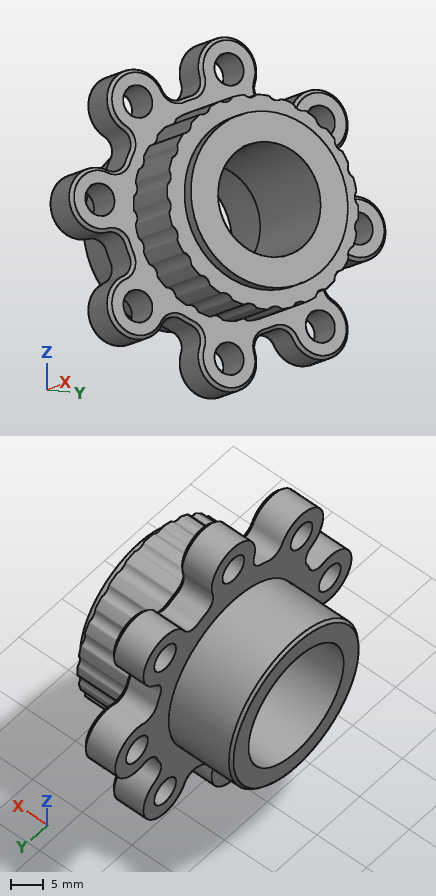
import cadquery as cq
import math

HUB_LENGTH = 12.65
FLANGE_THICKNESS = 6.45
TOOTH_LENGTH = 10.6
TOTAL_LENGTH = 31.75
FLANGE_END = HUB_LENGTH + FLANGE_THICKNESS
TOOTH_END = FLANGE_END + TOOTH_LENGTH

HUB_RADIUS = 15.1
HUB_CHAMFER = 0.5
COLLAR_RADIUS = 13.7
BORE_RADIUS = 8.95
SEAT_RADIUS = 11.1
SEAT_DEPTH = 12.75

FLANGE_RADIUS = 27.6
FLANGE_BODY_RADIUS = 18.95
FLANGE_CHAMFER = 0.55
LOBE_COUNT = 8
LOBE_RADIUS = 5.1
LOBE_FILLET = 2.5
LOBE_HOLE_RADIUS = 2.55
LOBE_CENTRE_RADIUS = FLANGE_RADIUS - LOBE_RADIUS
LOBE_PITCH = 360 / LOBE_COUNT

TOOTH_COUNT = 24
TIP_RADIUS = 16.65
TIP_LAND_ANGLE = 6.0
TIP_ROUNDING = 0.55
GROOVE_RADIUS = 1.55
TOOTH_PITCH = 360 / TOOTH_COUNT


def polar(radius, degrees):
    """Point in a cross-section; zero degrees lies on +Y and 90 degrees on +Z."""
    angle = math.radians(degrees)
    return radius * math.cos(angle), radius * math.sin(angle)


def step_towards(start, target, distance):
    """Point at the given distance from start on the line to target."""
    ratio = distance / math.dist(start, target)
    return tuple(a + (b - a) * ratio for a, b in zip(start, target))


def arc_middle(centre, start, end):
    """Middle of the shorter arc from start to end about centre."""
    chord_middle = tuple((a + b) / 2 for a, b in zip(start, end))
    return step_towards(centre, chord_middle, math.dist(centre, start))


def cross_section(x):
    """Workplane across the axis at station x; its local axes are Y and Z."""
    return cq.Workplane("YZ", origin=(x, 0, 0))


def make_flange():
    fillet_centre_radius = FLANGE_BODY_RADIUS + LOBE_FILLET
    lobe_to_fillet = LOBE_RADIUS + LOBE_FILLET
    fillet_cosine = (fillet_centre_radius**2 + LOBE_CENTRE_RADIUS**2 - lobe_to_fillet**2) / (
        2 * fillet_centre_radius * LOBE_CENTRE_RADIUS
    )
    fillet_angle = math.degrees(math.acos(fillet_cosine))

    outline = cross_section(HUB_LENGTH).moveTo(*polar(FLANGE_BODY_RADIUS, -fillet_angle))
    for index in range(LOBE_COUNT):
        axis = index * LOBE_PITCH
        lobe_centre = polar(LOBE_CENTRE_RADIUS, axis)
        first_centre = polar(fillet_centre_radius, axis - fillet_angle)
        second_centre = polar(fillet_centre_radius, axis + fillet_angle)
        neck_start = polar(FLANGE_BODY_RADIUS, axis - fillet_angle)
        lobe_start = step_towards(first_centre, lobe_centre, LOBE_FILLET)
        lobe_end = step_towards(second_centre, lobe_centre, LOBE_FILLET)
        neck_end = polar(FLANGE_BODY_RADIUS, axis + fillet_angle)
        next_neck = polar(FLANGE_BODY_RADIUS, axis + LOBE_PITCH - fillet_angle)
        outline = (
            outline.threePointArc(arc_middle(first_centre, neck_start, lobe_start), lobe_start)
            .threePointArc(polar(FLANGE_RADIUS, axis), lobe_end)
            .threePointArc(arc_middle(second_centre, lobe_end, neck_end), neck_end)
            .threePointArc(polar(FLANGE_BODY_RADIUS, axis + LOBE_PITCH / 2), next_neck)
        )
    flange = outline.close().extrude(FLANGE_THICKNESS)
    flange = flange.faces(">X").edges().chamfer(FLANGE_CHAMFER)

    lobe_holes = (
        cross_section(HUB_LENGTH)
        .polarArray(LOBE_CENTRE_RADIUS, 0, 360, LOBE_COUNT)
        .circle(LOBE_HOLE_RADIUS)
        .extrude(FLANGE_THICKNESS)
    )
    return flange.cut(lobe_holes)


def make_toothed_rim():
    half_land = TIP_LAND_ANGLE / 2
    rounding_centre_radius = TIP_RADIUS - TIP_ROUNDING
    along, across = polar(rounding_centre_radius, TOOTH_PITCH / 2 - half_land)
    groove_centre_radius = along + math.sqrt((GROOVE_RADIUS + TIP_ROUNDING) ** 2 - across**2)
    groove_floor_radius = groove_centre_radius - GROOVE_RADIUS

    outline = cross_section(FLANGE_END).moveTo(*polar(TIP_RADIUS, -half_land))
    for index in range(TOOTH_COUNT):
        axis = index * TOOTH_PITCH
        groove_axis = axis + TOOTH_PITCH / 2
        groove_centre = polar(groove_centre_radius, groove_axis)
        first_centre = polar(rounding_centre_radius, axis + half_land)
        second_centre = polar(rounding_centre_radius, axis + TOOTH_PITCH - half_land)
        land_end = polar(TIP_RADIUS, axis + half_land)
        groove_start = step_towards(first_centre, groove_centre, TIP_ROUNDING)
        groove_end = step_towards(second_centre, groove_centre, TIP_ROUNDING)
        next_land = polar(TIP_RADIUS, axis + TOOTH_PITCH - half_land)
        outline = (
            outline.threePointArc(polar(TIP_RADIUS, axis), land_end)
            .threePointArc(arc_middle(first_centre, land_end, groove_start), groove_start)
            .threePointArc(polar(groove_floor_radius, groove_axis), groove_end)
            .threePointArc(arc_middle(second_centre, groove_end, next_land), next_land)
        )
    return outline.close().extrude(TOOTH_LENGTH)


hub = cross_section(0).circle(HUB_RADIUS).extrude(HUB_LENGTH).faces("<X").chamfer(HUB_CHAMFER)
collar = cross_section(TOOTH_END).circle(COLLAR_RADIUS).extrude(TOTAL_LENGTH - TOOTH_END)
bore = cross_section(0).circle(BORE_RADIUS).extrude(TOTAL_LENGTH)
seat = cross_section(0).circle(SEAT_RADIUS).extrude(SEAT_DEPTH)

result = hub.union(make_flange()).union(make_toothed_rim()).union(collar).cut(bore).cut(seat)